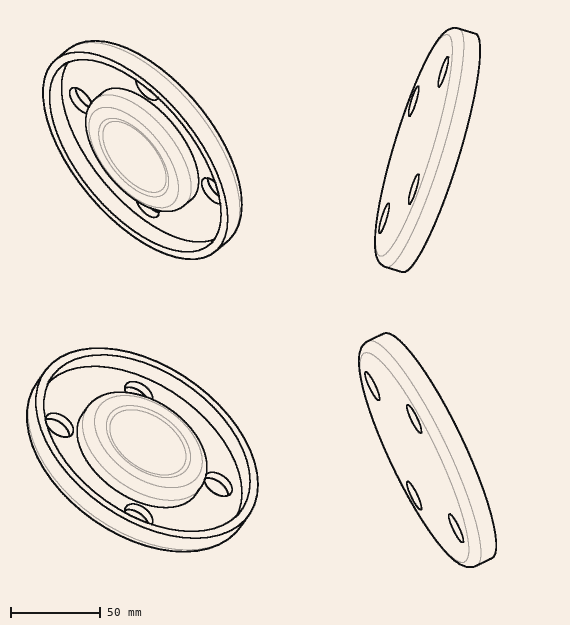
import cadquery as cq
import math

flange_diameter = 140.0
flange_height = 15.0
corner_radius = 5.0
rim_inner_diameter = 129.9
floor_thickness = 5.0
boss_diameter = 78.0
overall_height = 16.5
hole_diameter = 17.5
hole_circle_radius = 50.0
hole_count = 4
mouth_diameter = 53.0
bowl_diameter = 48.0


def disc(diameter, start, end):
    """Solid disc about Z between two heights."""
    return cq.Workplane("XY").workplane(offset=start).circle(diameter / 2).extrude(end - start)


def bowl():
    """Spherical bowl whose rim rounds over tangentially to the boss face."""
    rim_radius = bowl_diameter / 2
    mouth_radius = mouth_diameter / 2
    rim_angle = math.asin((mouth_radius - rim_radius) / corner_radius)
    sphere_radius = rim_radius / math.sin(rim_angle)
    rim_height = overall_height - corner_radius * (1 - math.cos(rim_angle))
    center_height = rim_height + sphere_radius * math.cos(rim_angle)
    half_angle = rim_angle / 2
    sphere_mid = (
        sphere_radius * math.sin(half_angle),
        center_height - sphere_radius * math.cos(half_angle),
    )
    rounding_mid = (
        mouth_radius - corner_radius * math.sin(half_angle),
        overall_height - corner_radius * (1 - math.cos(half_angle)),
    )
    return (
        cq.Workplane("XZ")
        .moveTo(0, center_height - sphere_radius)
        .threePointArc(sphere_mid, (rim_radius, rim_height))
        .threePointArc(rounding_mid, (mouth_radius, overall_height))
        .lineTo(0, overall_height)
        .close()
        .revolve(360, (0, 0, 0), (0, 1, 0))
    )


flange = disc(flange_diameter, 0, flange_height).faces("<Z").edges().fillet(corner_radius)
flange = flange.cut(disc(rim_inner_diameter, floor_thickness, flange_height))

boss = disc(boss_diameter, floor_thickness, overall_height).faces(">Z").edges().fillet(corner_radius)
body = flange.union(boss)

body = body.cut(bowl())

holes = (
    cq.Workplane("XY")
    .polarArray(hole_circle_radius, 0, 360, hole_count)
    .circle(hole_diameter / 2)
    .extrude(floor_thickness)
)
body = body.cut(holes)

result = body.translate((0, 0, -overall_height / 2)).rotate((0, 0, 0), (1, 0, 0), 90)